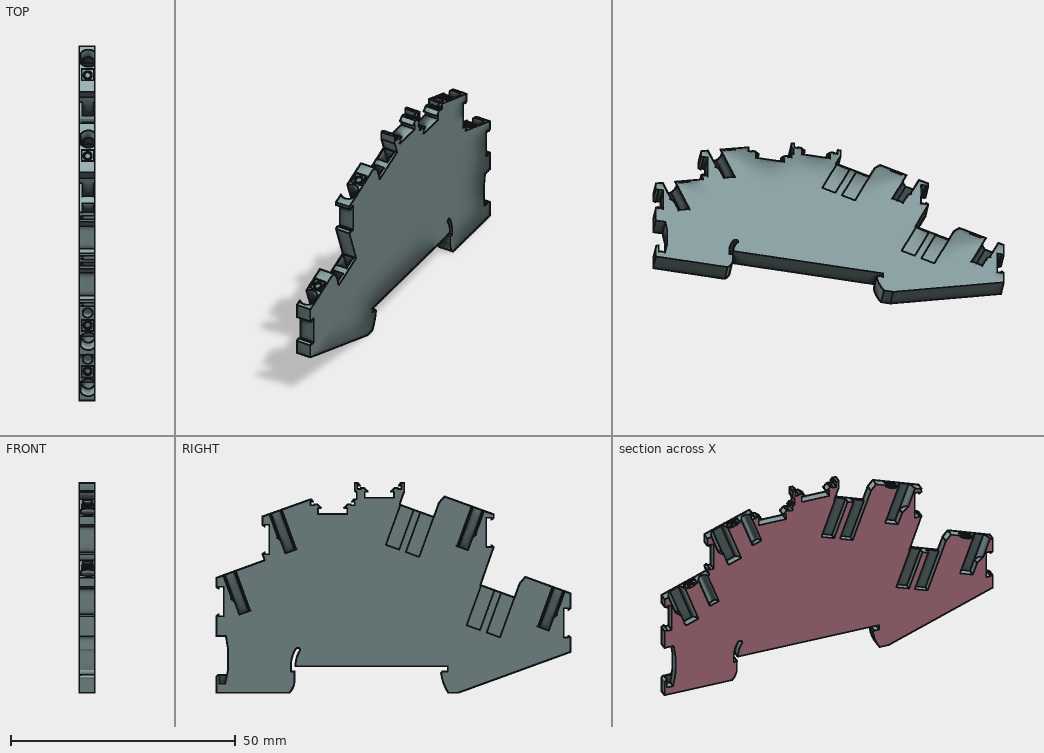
import cadquery as cq
import math

LENGTH = 78.8
THICKNESS = 3.5
HEIGHT = 46.7

SLOPE = math.radians(20)
RISE = math.tan(SLOPE)
SIN = math.sin(SLOPE)
COS = math.cos(SLOPE)

FRONT_LOWER = (0.0, 25.6)
FRONT_UPPER = (10.25, 39.25)
BACK_LOWER = (LENGTH, 22.15)
BACK_UPPER = (61.7, 39.7)

FRONT_LOWER_FACE = 10.7
BACK_LOWER_FACE = 10.1
BACK_UPPER_FACE = 10.95

BEVEL_Y = 1.3
BEVEL_Z = 1.4
SEAT_STEP = 3.15
SEAT_LENGTH = 7.6

RECESS_HEIGHT = 6.5
DEEP_RECESS = 1.65
SHALLOW_RECESS = 1.5
NIB_HEIGHT = 0.4
NIB_REACH = 0.55
FRONT_LOWER_RECESS_Z = 17.1
FRONT_UPPER_RECESS_Z = 30.9
BACK_LOWER_RECESS_Z = 12.4
BACK_UPPER_RECESS_Z = 32.5

SLOT_CENTRE = 36.25
SLOT_SHIFT = 10.4
SLOT_DROP = 3.6
SLOT_FLOOR = 43.4
LIP_TOP = HEIGHT - SLOT_FLOOR
LIP_WALL = 4.9
LIP_REACH = 0.59
LIP_BOTTOM = 2.7
LIP_THICKNESS = 0.8
LIP_BEVEL = 0.12
NOTCH_FLOOR = 2.0
LEDGE_OUTER = 4.1
LEDGE_INNER = 3.5
LEDGE_TOP = 2.2
CATCH_TIP = (2.5, 1.35)
CATCH_BOTTOM = 1.3
SLOT_HALF_WIDTH = 3.2

BACK_POST_Y = 41.85
BACK_POST_FOOT_Z = 44.8
MID_POST_Y = 30.7
MID_POST_FOOT = (31.2, 44.6)
MID_POST_CHAMFER_Z = 45.0

RAIL_Z = 5.9
FOOT_TOP = 4.8
FOOT_FRONT = 17.4
RELIEF_WALL = 16.6
HOOK_WALL = 51.45
KEEL_START = 53.75

TOE_TOP = 4.0
TOE_RADIUS = 0.6
TOE_BACK = 2.4
TOE_POCKET_DEPTH = 2.0
TOE_SKIN = 0.3
FINGER_TOP = 12.6
FINGER_MOUTH = 2.1
FINGER_WALL = 2.6
FINGER_UPPER = 9.6
FINGER_LOWER = 5.3


def up_slope(start, run):
    """Point a horizontal run away from start, higher by the common slope."""
    return start[0] + run, start[1] + abs(run) * RISE


def recess_points(outer, inward, bottom, depth):
    """Recess in an end wall, bottom to top; inward is +1 or -1 along Y."""
    top = bottom + RECESS_HEIGHT
    floor = outer + inward * depth
    nib = outer + inward * NIB_REACH
    return [
        (outer, bottom),
        (nib, bottom + NIB_HEIGHT),
        (nib, bottom),
        (floor, bottom),
        (floor, top),
        (nib, top),
        (nib, top - NIB_HEIGHT),
        (outer, top),
    ]


def slot_side(centre, floor, side):
    """Stepped flank of a snap-in slot from its lip down to its floor; side is +1 (back) or -1."""
    steps = [
        (LIP_WALL - LIP_BEVEL, LIP_TOP),
        (LIP_WALL - LIP_REACH, LIP_BOTTOM),
        (LIP_WALL, LIP_BOTTOM),
        (LIP_WALL, NOTCH_FLOOR),
        (LEDGE_OUTER, NOTCH_FLOOR),
        (LEDGE_OUTER, LEDGE_TOP),
        (LEDGE_INNER, LEDGE_TOP),
        CATCH_TIP,
        (SLOT_HALF_WIDTH, CATCH_BOTTOM),
        (SLOT_HALF_WIDTH, 0),
    ]
    return [(centre + side * y, floor + z) for y, z in steps]


def slot_points(centre, floor):
    """Whole slot from the back lip to the front lip."""
    return slot_side(centre, floor, 1) + slot_side(centre, floor, -1)[::-1]


def seat_points(corner, face):
    """Back terminal face, bevel and the marker seat behind it."""
    peak = up_slope(corner, -face)
    bevel = (peak[0] - BEVEL_Y, peak[1] - BEVEL_Z)
    root = (bevel[0] - SEAT_STEP * RISE, bevel[1] - SEAT_STEP)
    return [corner, peak, bevel, root, up_slope(root, -SEAT_LENGTH)]


lower_seat = seat_points(BACK_LOWER, BACK_LOWER_FACE)
upper_seat = seat_points(BACK_UPPER, BACK_UPPER_FACE)
front_slot = (SLOT_CENTRE - SLOT_SHIFT, SLOT_FLOOR - SLOT_DROP)


def make_body():
    """Extruded plate with the full outline of the terminal block."""
    upper_path = (
        recess_points(LENGTH, -1, BACK_LOWER_RECESS_Z, SHALLOW_RECESS)
        + lower_seat
        + recess_points(BACK_UPPER[0], -1, BACK_UPPER_RECESS_Z, DEEP_RECESS)
        + upper_seat
    )
    mid_post = [
        (MID_POST_Y, HEIGHT),
        (MID_POST_Y, MID_POST_CHAMFER_Z),
        MID_POST_FOOT,
        (MID_POST_FOOT[0], front_slot[1] + LIP_TOP),
    ]
    finger_recess = [
        (0, FINGER_TOP),
        (FINGER_MOUTH, FINGER_TOP),
        (FINGER_WALL, FINGER_UPPER),
        (FINGER_WALL, FINGER_LOWER),
        (TOE_BACK, TOE_TOP),
        (TOE_RADIUS, TOE_TOP),
    ]
    top_path = (
        [(BACK_POST_Y, HEIGHT)]
        + slot_points(SLOT_CENTRE, SLOT_FLOOR)
        + mid_post
        + slot_points(*front_slot)
        + [FRONT_UPPER]
        + recess_points(FRONT_UPPER[0], 1, FRONT_UPPER_RECESS_Z, SHALLOW_RECESS)[::-1]
        + [up_slope(FRONT_LOWER, FRONT_LOWER_FACE), FRONT_LOWER]
        + recess_points(0, 1, FRONT_LOWER_RECESS_Z, DEEP_RECESS)[::-1]
        + finger_recess
    )
    keel = (KEEL_START, 0)
    outline = cq.Workplane("YZ").moveTo(*keel).lineTo(*up_slope(keel, LENGTH - KEEL_START))
    for point in upper_path:
        outline = outline.lineTo(*point)
    outline = outline.threePointArc((41.2, 43.2), (BACK_POST_Y, BACK_POST_FOOT_Z))
    for point in top_path:
        outline = outline.lineTo(*point)
    outline = (
        outline.radiusArc((0, TOE_TOP - TOE_RADIUS), -TOE_RADIUS)
        .lineTo(0, 0)
        .lineTo(16.2, 0)
        .threePointArc((17.1, 1.3), (FOOT_FRONT, 2.8))
        .lineTo(FOOT_FRONT, FOOT_TOP)
        .lineTo(RELIEF_WALL, FOOT_TOP)
        .lineTo(RELIEF_WALL, 6.55)
        .threePointArc((16.95, 8.2), (17.65, 9.8))
        .threePointArc((18.1, 10.0), (18.6, 9.45))
        .threePointArc((17.8, 7.7), (17.6, RAIL_Z))
        .lineTo(HOOK_WALL, RAIL_Z)
        .lineTo(HOOK_WALL, FOOT_TOP)
        .lineTo(50.3, FOOT_TOP)
        .lineTo(49.95, 4.4)
        .threePointArc((50.5, 2.1), (51.6, 0))
        .close()
    )
    return outline.extrude(THICKNESS)


def toe_pocket():
    """Hollow in the toe behind its rounded edge, open at +X; its back wall carries on the finger recess."""
    lean = (FINGER_WALL - TOE_BACK) / (FINGER_LOWER - TOE_TOP)
    bottom = TOE_TOP - TOE_POCKET_DEPTH
    return (
        cq.Workplane("YZ", origin=(TOE_SKIN, 0, 0))
        .polyline([
            (TOE_RADIUS, bottom),
            (TOE_RADIUS, TOE_TOP),
            (TOE_BACK, TOE_TOP),
            (TOE_BACK - lean * TOE_POCKET_DEPTH, bottom),
        ])
        .close()
        .extrude(THICKNESS - TOE_SKIN)
    )


def lip_clearance(centre, floor, side):
    """Cutter that leaves a slot lip only next to the -X side."""
    near = centre + side * (LIP_WALL - LIP_REACH)
    width = THICKNESS - LIP_THICKNESS
    return (
        cq.Workplane("XY")
        .box(width, LIP_REACH, LIP_TOP - NOTCH_FLOOR, centered=(False, True, False))
        .translate((LIP_THICKNESS, near + side * LIP_REACH / 2, floor + NOTCH_FLOOR))
    )


ENTRY_X = 2.05
ENTRY_RADIUS = 2.05
SIDE_WALL = 0.3
ENTRY_DEPTH = 9.45
RAMP_START = 4.8
RAMP_END = 6.5
RAMP_RUN = 0.95
SCREW_DEPTH = 7.9
SCREW_RADIUS = 1.1
SCREW_X = 1.9
SOCKET_SIZE = 2.7
SOCKET_X = 1.9
SOCKET_DEPTH = 0.3
TEST_STEPS = [(0.95, 0.5), (0.7, 0.55)]
POCKET_WIDTH = 2.6
POCKET_X = 2.0
POCKET_LENGTH = 3.15
POCKET_PITCH = 4.7
POCKET_DEPTH = 9.45

FRONT_ENTRY = 2.9
FRONT_SOCKET = 6.4
FRONT_SCREW = 9.2
BACK_ENTRY = 7.4
BACK_SOCKET = 3.8


def face_plane(corner, distance, facing):
    """Plane on a terminal face, a horizontal distance in from its outer corner.

    facing is -1 for a face that looks to the front and +1 for one that looks to the back.
    """
    y, z = up_slope(corner, -facing * distance)
    return cq.Plane(origin=(0, y, z), xDir=(1, 0, 0), normal=(0, facing * SIN, COS))


def wire_entry(plane, facing):
    """Deep round hole, closed by a wall at -X and open at +X, narrowed by a ramp at its outer end."""
    reach = 2 * ENTRY_RADIUS
    bore = cq.Workplane(plane).center(ENTRY_X, 0).circle(ENTRY_RADIUS).extrude(-ENTRY_DEPTH)
    keep = (
        cq.Workplane(plane)
        .center(SIDE_WALL + reach / 2, 0)
        .rect(reach, 2 * reach)
        .extrude(-ENTRY_DEPTH)
    )
    profile = cq.Plane(origin=plane.origin.toTuple(), xDir=(0, facing * COS, -SIN), normal=(facing, 0, 0))
    ramp_edge = ENTRY_RADIUS - RAMP_RUN
    ramp = (
        cq.Workplane(profile)
        .polyline([
            (ENTRY_RADIUS, -RAMP_START),
            (ramp_edge, -RAMP_END),
            (ramp_edge, -ENTRY_DEPTH),
            (ENTRY_RADIUS, -ENTRY_DEPTH),
        ])
        .close()
        .extrude(facing * 2 * THICKNESS)
    )
    return bore.intersect(keep).cut(ramp)


def test_socket(plane):
    """Shallow square recess with a round test point in it."""
    square = cq.Workplane(plane).center(SOCKET_X, 0).rect(SOCKET_SIZE, SOCKET_SIZE).extrude(-SOCKET_DEPTH)
    for radius, depth in TEST_STEPS:
        square = square.union(cq.Workplane(plane).center(SOCKET_X, 0).circle(radius).extrude(-depth))
    return square


def screw_hole(plane):
    """Round blind hole square to the terminal face."""
    return cq.Workplane(plane).center(SCREW_X, 0).circle(SCREW_RADIUS).extrude(-SCREW_DEPTH)


def marker_pockets(root):
    """Two deep pockets along a marker seat, the first starting at its root."""
    plane = cq.Plane(origin=(0, *root), xDir=(1, 0, 0), normal=(0, SIN, COS))
    centres = [(POCKET_X, -POCKET_LENGTH / 2 - i * POCKET_PITCH) for i in range(2)]
    return (
        cq.Workplane(plane)
        .pushPoints(centres)
        .rect(POCKET_WIDTH, POCKET_LENGTH)
        .extrude(-POCKET_DEPTH)
    )


result = make_body().cut(toe_pocket())

for centre, floor in [(SLOT_CENTRE, SLOT_FLOOR), front_slot]:
    for side in (-1, 1):
        result = result.cut(lip_clearance(centre, floor, side))

for corner in (FRONT_LOWER, FRONT_UPPER):
    result = result.cut(wire_entry(face_plane(corner, FRONT_ENTRY, -1), -1))
    result = result.cut(test_socket(face_plane(corner, FRONT_SOCKET, -1)))
    result = result.cut(screw_hole(face_plane(corner, FRONT_SCREW, -1)))

for corner, face, seat in [
    (BACK_LOWER, BACK_LOWER_FACE, lower_seat),
    (BACK_UPPER, BACK_UPPER_FACE, upper_seat),
]:
    result = result.cut(wire_entry(face_plane(corner, face - BACK_ENTRY, 1), 1))
    result = result.cut(test_socket(face_plane(corner, face - BACK_SOCKET, 1)))
    result = result.cut(marker_pockets(seat[3]))